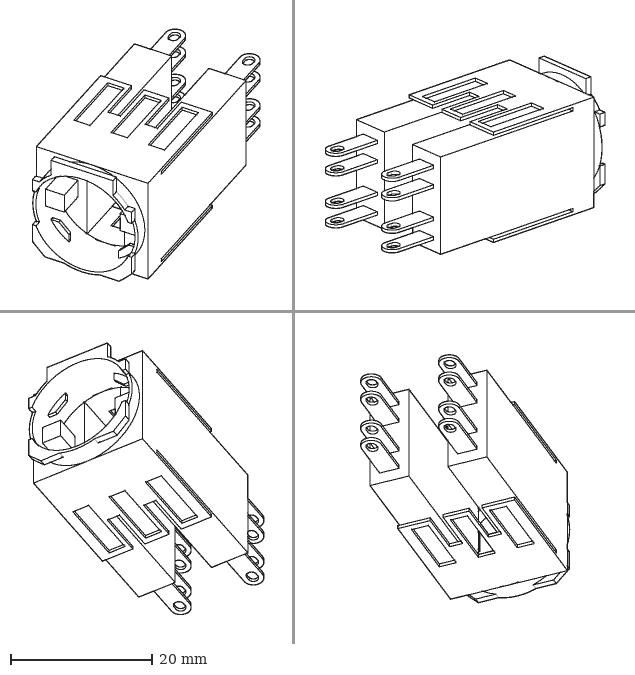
import cadquery as cq

body_width = 18.0
body_height = 17.0
total_length = 40.0

collar_diameter = body_height
socket_diameter = 16.0
socket_radius = socket_diameter / 2
body_front = 3.0
socket_end = 7.0

rim_thickness = 1.0
rim_width = socket_diameter
top_bar_width = 10.0
top_bar_rise = 1.0
ear_top = 5.0
notch_height = 6.0
corner_cut = 2.0

plate_thickness = 0.5
plate_clearance = 0.5
plate_end = 22.0
plate_slot_start = 15.0
side_plate_inner = 4.0
middle_plate_width = 4.0
window_width = 2.6
window_start = 11.0
window_end = 21.0

block_end = 32.0
block_gap = 6.0
block_height = body_height - 2 * (plate_thickness + plate_clearance)
block_width = (body_width - block_gap) / 2
block_center = (body_width + block_gap) / 4

peg_size = 3.0
clip_near = 4.0
clip_far = 5.65
clip_front = 3.5
clip_thickness = 0.5

terminal_width = 3.0
terminal_thickness = 0.5
terminal_heights = (-5.5, -2.5, 2.5, 5.5)
terminal_embed = 0.4
eye_width = 1.5
eye_length = 2.0

SIDES = (-1, 1)


def box(x, y, z):
    """Box between the (low, high) pairs x, y and z."""
    size = (x[1] - x[0], y[1] - y[0], z[1] - z[0])
    return cq.Workplane("XY").box(*size, centered=False).translate((x[0], y[0], z[0]))


def centered_box(width, y, height, center_x=0.0):
    """Box centred on Z = 0 and on center_x, between the (front, back) pair y."""
    half = width / 2
    return box((center_x - half, center_x + half), y, (-height / 2, height / 2))


def section(y):
    """Sketch plane at depth y, with X to the right, Z up and extrusion toward +Y."""
    return cq.Workplane(cq.Plane(origin=(0, y, 0), xDir=(1, 0, 0), normal=(0, -1, 0)))


def cylinder(diameter, start, end):
    return section(start).circle(diameter / 2).extrude(start - end)


def make_rim():
    """Flat rim at the front: top bar, two ears, and a lower part with cut corners."""
    half = rim_width / 2
    top = body_height / 2 + top_bar_rise
    bar = box((-top_bar_width / 2, top_bar_width / 2), (0, rim_thickness), (0, top))
    ears = box((-half, half), (0, rim_thickness), (0, ear_top))
    lower = centered_box(rim_width, (0, rim_thickness), rim_width)
    lower = lower.edges("|Y and <Z").chamfer(corner_cut)
    lower = lower.intersect(box((-half, half), (0, rim_thickness), (-half, 0)))
    rim = cylinder(collar_diameter, 0, rim_thickness).union(bar).union(ears).union(lower)
    return rim.cut(centered_box(body_width, (0, rim_thickness), notch_height))


def make_plates():
    """Upper and lower plates, each split into three windowed tongues."""
    plates = centered_box(body_width, (socket_end, plate_end), body_height)
    inner_height = body_height - 2 * plate_thickness
    plates = plates.cut(centered_box(body_width, (socket_end, plate_end), inner_height))
    slot_inner = middle_plate_width / 2
    slot_width = side_plate_inner - slot_inner
    for side in SIDES:
        slot_center = side * (slot_inner + slot_width / 2)
        slot = centered_box(slot_width, (plate_slot_start, plate_end), body_height, slot_center)
        plates = plates.cut(slot)
    for x in (-block_center, 0, block_center):
        window = centered_box(window_width, (window_start, window_end), body_height, x)
        plates = plates.cut(window)
    return plates


def make_terminal():
    """Flat tongue lying on Z = 0, with a round end and an oblong eye, centred on X = 0."""
    end_center = total_length - terminal_width / 2
    start = block_end - terminal_embed
    bar = centered_box(terminal_width, (start, end_center), terminal_thickness)
    flat = cq.Workplane("XY").workplane(offset=-terminal_thickness / 2)
    end = flat.center(0, end_center).circle(terminal_width / 2).extrude(terminal_thickness)
    eye_center = end_center - (eye_length - eye_width) / 2
    eye = flat.center(0, eye_center).slot2D(eye_length, eye_width, 90).extrude(terminal_thickness)
    return bar.union(end).cut(eye)


def make_clip(side_x, side_z):
    """Small corner clip on the socket wall, in the quadrant given by the two signs."""
    corners = [
        (clip_near, clip_far),
        (clip_far, clip_near),
        (socket_radius, clip_near),
        (socket_radius, socket_radius),
        (clip_near, socket_radius),
    ]
    points = [(side_x * x, side_z * z) for x, z in corners]
    clip = section(clip_front).polyline(points).close().extrude(-clip_thickness)
    return clip.intersect(cylinder(collar_diameter, body_front, socket_end))


def make_contact_block(center_x):
    """Contact block with its socket peg and its column of terminals."""
    block = centered_box(block_width, (socket_end, block_end), block_height, center_x)
    block = block.union(centered_box(peg_size, (body_front, socket_end), peg_size, center_x))
    terminal = make_terminal()
    for z in terminal_heights:
        block = block.union(terminal.translate((center_x, 0, z)))
    return block


shell = centered_box(body_width, (body_front, socket_end), body_height)
shell = shell.union(cylinder(collar_diameter, rim_thickness, body_front))
shell = shell.union(make_rim())
shell = shell.cut(cylinder(socket_diameter, 0, socket_end))

result = shell.union(make_plates())
for side_x in SIDES:
    result = result.union(make_contact_block(side_x * block_center))
    for side_z in SIDES:
        result = result.union(make_clip(side_x, side_z))